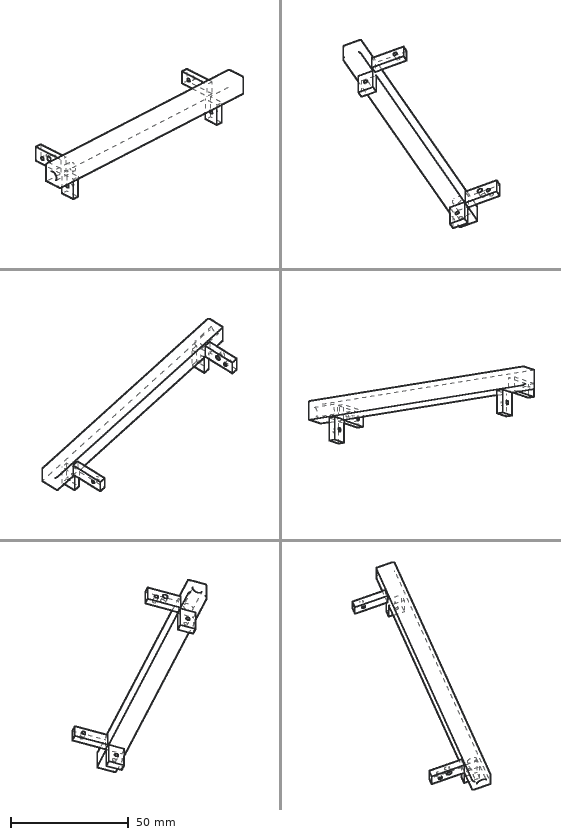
import cadquery as cq
import math

bar_side = 8.5
bar_length = 111.5
edge_radius = 1.0

arm_length = 15.0
plate_thickness = 3.0
arm_top_drop = 1.6
front_arm_height = bar_side - arm_top_drop
rear_arm_height = 5.9
front_arm_y = 9.5
rear_arm_y = 97.5

leg_length = 10.0
leg_width = 7.0
front_leg_y = 10.0
rear_leg_y = 96.5

hole_column_x = 4.0
front_arm_small_diameter = 1.6
front_arm_small_z = leg_length + 2.75
front_arm_large_diameter = 2.2
front_arm_large_x = 8.0
rear_arm_hole_diameter = 1.6
leg_hole_diameter = 1.6
leg_hole_x = arm_length + leg_width / 2
leg_hole_z = leg_length / 2

bore_diameter = 4.2
bore_depth = 12.0
drill_point_angle = 118.0
bore_mouth_radius = 1.0

bar_axis_x = arm_length + bar_side / 2
bar_axis_z = leg_length + bar_side / 2
arm_top = leg_length + bar_side - arm_top_drop


def block(x, y, z, width, depth, height):
    """Box with its lowest corner at (x, y, z)."""
    return cq.Workplane("XY").box(width, depth, height, centered=False).translate((x, y, z))


def plate_hole(x, z, diameter, plate_y):
    """Cylinder along Y that spans one plate."""
    center = cq.Vector(x, plate_y, z)
    return cq.Workplane(cq.Solid.makeCylinder(diameter / 2, plate_thickness, center, cq.Vector(0, 1, 0)))


def make_bar():
    """Bar with rounded end rims and a rounded upper +X edge."""
    bar = block(arm_length, 0, leg_length, bar_side, bar_length, bar_side)
    rounded_edges = bar.faces("<Y or >Y").edges().add(bar.faces(">X").edges(">Z"))
    return rounded_edges.fillet(edge_radius)


def make_end_bore():
    """Drilled bore with a flared, rounded mouth opening at the -Y end of the bar."""
    bore_radius = bore_diameter / 2
    rim_radius = bore_radius + bore_mouth_radius
    arc_offset = bore_mouth_radius * math.sqrt(0.5)
    arc_middle = (rim_radius - arc_offset, bore_mouth_radius - arc_offset)
    tip_depth = bore_depth + bore_radius / math.tan(math.radians(drill_point_angle / 2))
    profile = (
        cq.Workplane("XY")
        .moveTo(0, 0)
        .lineTo(rim_radius, 0)
        .threePointArc(arc_middle, (bore_radius, bore_mouth_radius))
        .lineTo(bore_radius, bore_depth)
        .lineTo(0, tip_depth)
        .close()
    )
    bore = profile.revolve(360, (0, 0, 0), (0, 1, 0))
    return bore.translate((bar_axis_x, 0, bar_axis_z))


def make_arm(y, height):
    """Plain arm whose top sits below the top of the bar."""
    return block(0, y, arm_top - height, arm_length, plate_thickness, height)


def make_leg(y):
    """Leg with its hole."""
    leg = block(arm_length, y, 0, leg_width, plate_thickness, leg_length)
    return leg.cut(plate_hole(leg_hole_x, leg_hole_z, leg_hole_diameter, y))


def make_front_arm():
    """Arm flush with the bottom of the bar, with two holes."""
    arm = make_arm(front_arm_y, front_arm_height)
    arm = arm.cut(plate_hole(hole_column_x, front_arm_small_z, front_arm_small_diameter, front_arm_y))
    return arm.cut(plate_hole(front_arm_large_x, bar_axis_z, front_arm_large_diameter, front_arm_y))


def make_rear_arm():
    """Shorter arm with one hole level with the bar axis."""
    arm = make_arm(rear_arm_y, rear_arm_height)
    return arm.cut(plate_hole(hole_column_x, bar_axis_z, rear_arm_hole_diameter, rear_arm_y))


result = make_bar().cut(make_end_bore())
result = result.union(make_front_arm()).union(make_rear_arm())
for leg_y in (front_leg_y, rear_leg_y):
    result = result.union(make_leg(leg_y))